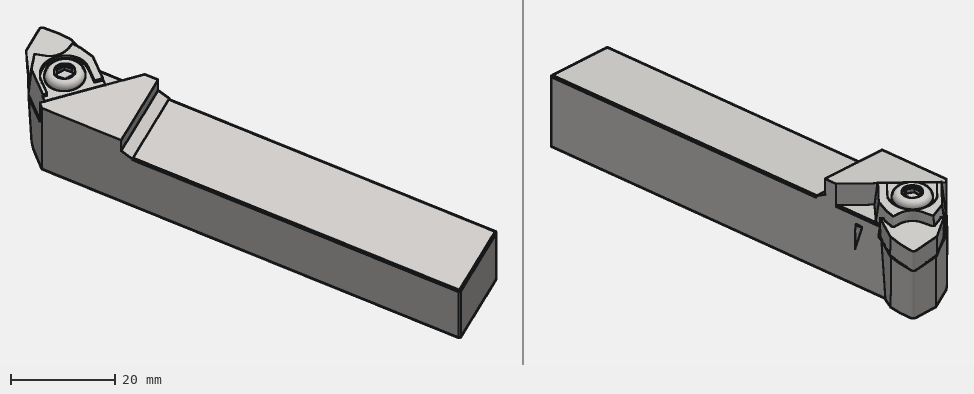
import cadquery as cq
import math

length = 99.9
shank_width = 16.0
shank_height = 15.8
edge_chamfer = 0.3

head_height = 20.5
head_end = 27.2
head_relief_z = 17.0
relief_ramp_end = 29.6
clamp_wall_offset = 8.3
bevel_corner = 10.2
head_start = (clamp_wall_offset + bevel_corner) / 2

nose_y = 19.9
nose_z = 16.2
tilt = 0.1
insert_thickness = 4.7
insert_corner_radius = 0.6
nose_inset = 0.3
nose_corner_radius = 0.8

clamp_rise = 2.3
clamp_taper = 7
recess_depth = 0.7
recess_radius = 4.8
rim_notch = 1.2
screw_x = 10.9
screw_y = 8.9
screw_radius = 4.0
screw_rise = 3.0
screw_flat_diameter = 5.3
socket_diameter = 4.1
socket_lead_depth = 0.4
socket_key_size = 3.4
socket_depth = 1.6

over = 40.0
wall_angle = 45

tilted = cq.Plane(
    origin=(0, nose_y, nose_z), xDir=(1, 0, tilt), normal=(-tilt, tilt, 1)
)


def tilted_plane(height):
    """Workplane parallel to the top of the insert, at a height above it."""
    return cq.Workplane(tilted).workplane(offset=height)


def behind_line(offset):
    """Upright block filling the side where x - y is greater than an offset."""
    return (
        cq.Workplane("XY")
        .polyline([(offset - over, -over), (offset + over, over), (offset + over, -over)])
        .close()
        .extrude(over)
    )


def make_insert():
    """Cutting insert, a plate lying on the seat."""
    plate = (
        tilted_plane(-insert_thickness)
        .moveTo(0, 0)
        .lineTo(3.9, -0.1)
        .lineTo(6.7, -0.5)
        .lineTo(12.2, -3.4)
        .lineTo(3.6, -12.2)
        .lineTo(0.3, -6.8)
        .close()
        .extrude(insert_thickness)
    )
    tip = cq.selectors.NearestToPointSelector((0, nose_y, nose_z - insert_thickness / 2))
    return plate.edges(tip).fillet(insert_corner_radius)


def make_shank():
    """Square shank with chamfered long edges and rear end."""
    bar = cq.Workplane("XY").box(length - bevel_corner, shank_width, shank_height, centered=False)
    bar = bar.edges("|X or >X").chamfer(edge_chamfer)
    return bar.translate((bevel_corner, 0, 0))


def make_head():
    """Head block, with a relieved step down to the shank and the wall behind the clamp."""
    profile = (
        cq.Workplane("XZ")
        .moveTo(head_start, edge_chamfer)
        .lineTo(head_start, head_height)
        .lineTo(head_end, head_height)
        .lineTo(head_end, head_relief_z)
        .lineTo(relief_ramp_end, shank_height)
        .lineTo(relief_ramp_end, edge_chamfer)
        .close()
        .extrude(-shank_width)
    )
    return profile.cut(make_clamp_space())


def make_clamp_space():
    """Space above the seat and in front of the clamp wall."""
    above_seat = tilted_plane(-insert_thickness).rect(2 * over, 2 * over).extrude(over)
    return above_seat.cut(behind_line(clamp_wall_offset))


def make_nose():
    """Support below the insert, square to the seat, and cut level at the bottom."""
    support = (
        tilted_plane(-insert_thickness)
        .moveTo(nose_inset, -nose_inset)
        .lineTo(3.9, -0.3)
        .lineTo(6.7, -0.7)
        .lineTo(12.2, -3.6)
        .lineTo(14.5, -4.5)
        .lineTo(18.3, -2.9)
        .lineTo(20.0, -6.0)
        .lineTo(20.0, -22.0)
        .lineTo(10.6, -22.0)
        .lineTo(3.7, -13.0)
        .lineTo(0.5, -6.8)
        .close()
        .extrude(-over)
    )
    tip = cq.selectors.NearestToPointSelector(
        tilted_plane(-insert_thickness - over / 2).plane.toWorldCoords((0, 0, 0)).toTuple()
    )
    support = support.edges(tip).fillet(nose_corner_radius)
    envelope = cq.Workplane("XY").box(over, over, over, centered=False).translate((0, edge_chamfer, 0))
    return support.intersect(envelope)


def make_front_bevel():
    """Waste in front of the upright bevel at the front corner."""
    return (
        cq.Workplane("XY")
        .polyline([
            (bevel_corner + over, -over),
            (bevel_corner - over, over),
            (bevel_corner - over, -over),
        ])
        .close()
        .extrude(over)
    )


def make_clamp():
    """Clamp on the seat, with two lobes reaching over the insert and a recess for the screw."""
    block = (
        tilted_plane(-insert_thickness)
        .moveTo(2.3, -8.7)
        .threePointArc((2.7, -8.2), (3.4, -7.9))
        .lineTo(5.6, -7.4)
        .threePointArc((7.1, -6.2), (7.7, -4.2))
        .lineTo(7.8, -3.2)
        .threePointArc((8.2, -2.6), (8.9, -2.5))
        .lineTo(10.8, -2.8)
        .lineTo(14.3, -4.0)
        .lineTo(24.0, -13.7)
        .lineTo(14.2, -23.5)
        .lineTo(3.7, -13.0)
        .close()
        .extrude(insert_thickness + clamp_rise, taper=clamp_taper)
    )
    floor = tilted_plane(clamp_rise - recess_depth)
    screw_seat = floor.center(screw_x, screw_y - nose_y).transformed(rotate=(0, 0, -wall_angle))
    recess = screw_seat.circle(recess_radius).extrude(over)
    recess_run = screw_seat.rect(over, 2 * recess_radius).extrude(over)
    behind_screw = behind_line(screw_x - screw_y)
    rim_start = clamp_wall_offset - rim_notch * math.sqrt(2)
    rim_ends = floor.rect(2 * over, 2 * over).extrude(over).intersect(behind_line(rim_start))
    block = block.cut(recess).cut(recess_run.intersect(behind_screw)).cut(rim_ends)
    return block.intersect(make_clamp_space())


def make_screw():
    """Domed screw head with a key socket."""
    floor = clamp_rise - recess_depth
    head = (
        tilted_plane(floor)
        .center(screw_x, screw_y - nose_y)
        .circle(screw_radius)
        .extrude(screw_rise - floor)
    )
    top = tilted_plane(screw_rise).center(screw_x, screw_y - nose_y)
    rim = head.faces(cq.selectors.DirectionMinMaxSelector(tilted.zDir, True)).edges()
    head = rim.fillet(screw_radius - screw_flat_diameter / 2)
    head = head.cut(top.circle(socket_diameter / 2).extrude(-socket_lead_depth))
    return head.cut(top.polygon(6, socket_key_size).extrude(-socket_depth))


insert = make_insert()

holder = make_shank().union(make_head()).union(make_nose()).union(make_clamp())
holder = holder.cut(make_front_bevel()).cut(insert).union(make_screw())

result = cq.Compound.makeCompound([holder.val(), insert.val()])